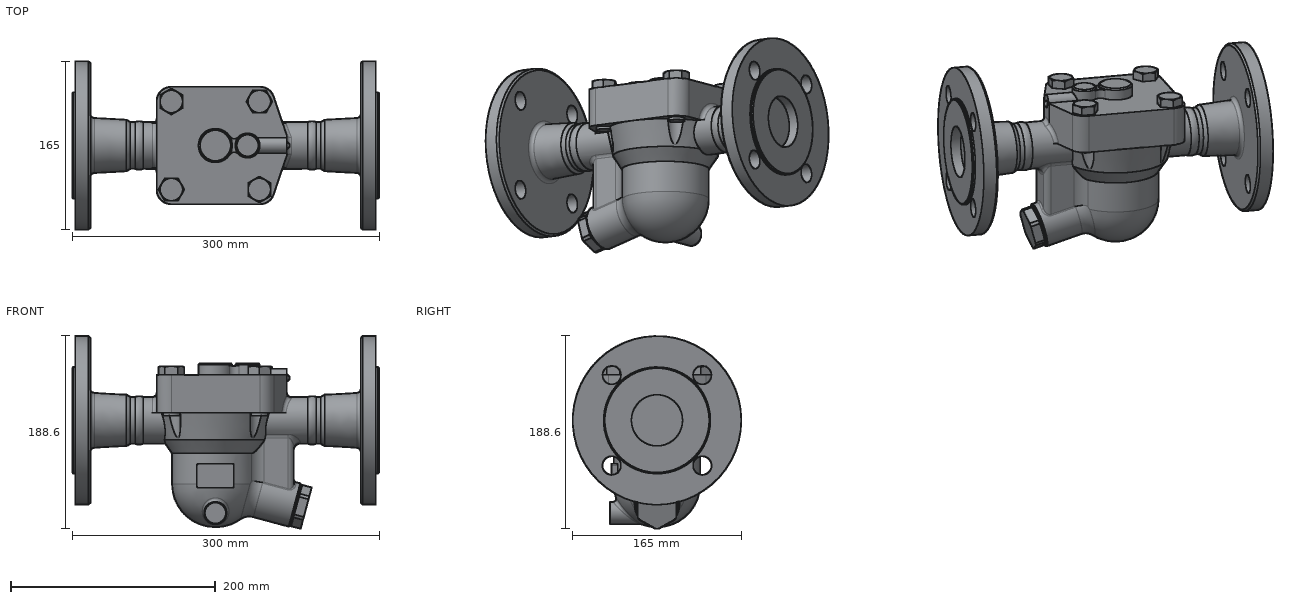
import cadquery as cq
import math


FACE_TO_FACE = 300.0
FLANGE_DIA = 165.0
FLANGE_THICKNESS = 15.0
FLANGE_CHAMFER = 2.0
RAISED_FACE_DIA = 102.0
RAISED_FACE_HEIGHT = 3.0
RAISED_FACE_CHAMFER = 1.2
BORE_DIA = 50.0
BORE_DEPTH = 10.0
BOLT_HOLE_DIA = 18.0
BOLT_CIRCLE_DIA = 125.0
BOLT_HOLE_COUNT = 4
PIPE_DIA = 46.0
HUB_FILLET = 3.8
HUB_LARGE_RADIUS = 27.0
HUB_SMALL_RADIUS = 25.3
HUB_LENGTH = 35.0
HUB_SHOULDER_LENGTH = 4.0
BEAD_GAP = 4.5
BEAD_WIDTH = 8.0
BEAD_HEIGHT = 0.8

BODY_X = -10.0
COVER_HALF_WIDTH = 57.5
COVER_CORNER_RADIUS = 14.5
COVER_NOSE_X = 60.0
COVER_NOSE_HALF_WIDTH = 9.2
COVER_NOSE_SLOPE = 3.0
COVER_TOP_Z = 44.5
BODY_FLANGE_BOTTOM_Z = 7.2
PIPE_COLLAR_FILLET = 4.0

BOLT_OFFSET = COVER_HALF_WIDTH - COVER_CORNER_RADIUS
BOLT_HEAD_FLATS = 22.0
BOLT_HEAD_HEIGHT = 8.4
BOLT_HEAD_CHAMFER = 0.9
BOLT_END_DIA = 16.0
BOLT_END_LENGTH = 2.7
BOLT_RELIEF_RADIUS = 9.0

BOSS_HEIGHT = 11.5
BOSS_CHAMFER = 1.5
LARGE_BOSS_RADIUS = 16.5
SMALL_BOSS_RADIUS = 12.0
SMALL_BOSS_X = 21.5
BOSS_WEB_HEIGHT = 8.7
BOSS_WEB_FILLET = 6.0
RIB_DIA = 16.0
RIB_AXIS_Z = 42.5
TIP_Z = 41.4
TIP_LENGTH = 2.5
TIP_BASE_RADIUS = 3.7
TIP_END_RADIUS = 1.4

BODY_TOP_RADIUS = 57.0
BODY_SHOULDER_RADIUS = 51.3
BODY_SHOULDER_Z = -19.2
BODY_RADIUS = 42.5
BODY_CYLINDER_TOP_Z = -32.4
SPHERE_Z = -62.0

PAD_WIDTH = 36.0
PAD_TOP_Z = -42.4
PAD_HEIGHT = 23.6
PAD_FACE_Y = -44.5
PAD_CORNER_RADIUS = 1.5

DRAIN_DIA = 22.0
DRAIN_Z = -90.6
DRAIN_END_Y = -46.4
DRAIN_CHAMFER = 0.8
DRAIN_FILLET = 3.0

BRANCH_TILT = 15.0
BRANCH_RADIUS = 22.0
BRANCH_LENGTH = 81.0
BRANCH_CHAMFER = 1.0
BRANCH_FILLET = 15.0
CAP_NECK_RADIUS = 19.5
CAP_NECK_LENGTH = 1.3
CAP_END = 92.0
CAP_FLATS = 38.0
CAP_CORNER_RADIUS = 21.0

DUCT_HALF_WIDTH = 17.6
DUCT_END_X = 66.8
DUCT_CORNER_RADIUS = 6.0
DUCT_BODY_FILLET = 15.0
DUCT_PIPE_FILLET = 6.0
DUCT_BRANCH_FILLET = 2.0

HEXAGON_SIDES = 6
HALF_FLAT_ANGLE = 180 / HEXAGON_SIDES

PIPE_RADIUS = PIPE_DIA / 2
FACE_X = FACE_TO_FACE / 2
FLANGE_FRONT_X = FACE_X - RAISED_FACE_HEIGHT
FLANGE_BACK_X = FLANGE_FRONT_X - FLANGE_THICKNESS
BODY_PIPE_END = FACE_X / 2


def hexagon_corner_dia(across_flats):
    return across_flats / math.cos(math.radians(HALF_FLAT_ANGLE))


def cylinder_z(x, y, z_bottom, radius, height):
    return cq.Workplane("XY", origin=(x, y, z_bottom)).circle(radius).extrude(height)


def edges_centred_in(solid, low, high):
    return solid.edges(cq.selectors.BoxSelector(low, high))


def make_pipe_half():
    """Half pipe with weld bead, tapered hub and flange on the +X side."""
    hub_start = FLANGE_BACK_X - HUB_FILLET
    hub_end = FLANGE_BACK_X - HUB_LENGTH
    shoulder_end = hub_end - HUB_SHOULDER_LENGTH
    bead_outer = shoulder_end - BEAD_GAP
    bead_inner = bead_outer - BEAD_WIDTH
    bead_mid = (bead_inner + bead_outer) / 2
    flange_radius = FLANGE_DIA / 2
    raised_radius = RAISED_FACE_DIA / 2
    fillet_mid = HUB_FILLET * (1 - math.sqrt(0.5))
    profile = (
        cq.Workplane("XY")
        .moveTo(0, 0)
        .lineTo(0, PIPE_RADIUS)
        .lineTo(bead_inner, PIPE_RADIUS)
        .threePointArc((bead_mid, PIPE_RADIUS + BEAD_HEIGHT), (bead_outer, PIPE_RADIUS))
        .lineTo(shoulder_end, PIPE_RADIUS)
        .lineTo(hub_end, HUB_SMALL_RADIUS)
        .lineTo(hub_start, HUB_LARGE_RADIUS)
        .threePointArc(
            (FLANGE_BACK_X - fillet_mid, HUB_LARGE_RADIUS + fillet_mid),
            (FLANGE_BACK_X, HUB_LARGE_RADIUS + HUB_FILLET),
        )
        .lineTo(FLANGE_BACK_X, flange_radius - FLANGE_CHAMFER)
        .lineTo(FLANGE_BACK_X + FLANGE_CHAMFER, flange_radius)
        .lineTo(FLANGE_FRONT_X, flange_radius)
        .lineTo(FLANGE_FRONT_X, raised_radius + RAISED_FACE_CHAMFER)
        .lineTo(FACE_X - RAISED_FACE_CHAMFER, raised_radius + RAISED_FACE_CHAMFER)
        .lineTo(FACE_X, raised_radius)
        .lineTo(FACE_X, BORE_DIA / 2)
        .lineTo(FACE_X - BORE_DEPTH, BORE_DIA / 2)
        .lineTo(FACE_X - BORE_DEPTH, 0)
        .close()
    )
    half = profile.revolve(360, (0, 0, 0), (1, 0, 0))
    holes = (
        cq.Workplane("YZ", origin=(FLANGE_BACK_X, 0, 0))
        .polarArray(BOLT_CIRCLE_DIA / 2, 180 / BOLT_HOLE_COUNT, 360, BOLT_HOLE_COUNT)
        .circle(BOLT_HOLE_DIA / 2)
        .extrude(FLANGE_THICKNESS)
    )
    return half.cut(holes)


def cover_prism(z_bottom, z_top):
    """Prism of the cover outline: a square with a pointed +X side and round corners."""
    shoulder_x = COVER_NOSE_X - (COVER_HALF_WIDTH - COVER_NOSE_HALF_WIDTH) / COVER_NOSE_SLOPE
    back_x = BODY_X - COVER_HALF_WIDTH
    outline = [
        (back_x, -COVER_HALF_WIDTH),
        (shoulder_x, -COVER_HALF_WIDTH),
        (COVER_NOSE_X, -COVER_NOSE_HALF_WIDTH),
        (COVER_NOSE_X, COVER_NOSE_HALF_WIDTH),
        (shoulder_x, COVER_HALF_WIDTH),
        (back_x, COVER_HALF_WIDTH),
    ]
    prism = cq.Workplane("XY", origin=(0, 0, z_bottom)).polyline(outline).close().extrude(z_top - z_bottom)
    corners = prism.edges("|Z and (>Y or <Y)")
    return corners.fillet(COVER_CORNER_RADIUS)


def make_cover():
    """Cover and body flange, with a fillet where the pipe leaves the side faces."""
    bar = (
        cq.Workplane("YZ", origin=(-BODY_PIPE_END, 0, 0))
        .circle(PIPE_RADIUS)
        .extrude(2 * BODY_PIPE_END)
    )
    joined = cover_prism(-COVER_TOP_Z, COVER_TOP_Z).union(bar)
    joint_edges = joined.edges(cq.selectors.BoxSelector(
        (-BODY_PIPE_END + 1, -PIPE_RADIUS - 1, -PIPE_RADIUS - 1),
        (BODY_PIPE_END - 1, PIPE_RADIUS + 1, PIPE_RADIUS + 1),
        boundingbox=True,
    ))
    joined = joint_edges.fillet(PIPE_COLLAR_FILLET)
    keep = cq.Workplane("XY", origin=(0, 0, BODY_FLANGE_BOTTOM_Z)).rect(FACE_TO_FACE, FLANGE_DIA)
    return joined.intersect(keep.extrude(COVER_TOP_Z))


def make_body():
    """Revolved body: tapered bowl, conical step, cylinder and spherical bottom."""
    sphere_mid = BODY_RADIUS * math.sqrt(0.5)
    body = (
        cq.Workplane("XZ", origin=(BODY_X, 0, 0))
        .moveTo(0, BODY_FLANGE_BOTTOM_Z)
        .lineTo(BODY_TOP_RADIUS, BODY_FLANGE_BOTTOM_Z)
        .lineTo(BODY_SHOULDER_RADIUS, BODY_SHOULDER_Z)
        .lineTo(BODY_RADIUS, BODY_CYLINDER_TOP_Z)
        .lineTo(BODY_RADIUS, SPHERE_Z)
        .threePointArc((sphere_mid, SPHERE_Z - sphere_mid), (0, SPHERE_Z - BODY_RADIUS))
        .close()
        .revolve(360, (0, 0, 0), (0, 1, 0))
    )
    for x, y in bolt_positions():
        depth = BODY_FLANGE_BOTTOM_Z - BODY_SHOULDER_Z
        body = body.cut(cylinder_z(x, y, BODY_SHOULDER_Z, BOLT_RELIEF_RADIUS, depth))
    return body


def bolt_positions():
    return [
        (BODY_X + side_x * BOLT_OFFSET, side_y * BOLT_OFFSET)
        for side_x in (-1, 1)
        for side_y in (-1, 1)
    ]


def make_cover_bolts():
    """Hexagon heads on the cover and bolt ends below the body flange."""
    corner_dia = hexagon_corner_dia(BOLT_HEAD_FLATS)
    bolts = cq.Workplane("XY")
    for x, y in bolt_positions():
        turned = (x - BODY_X) * y < 0
        head = (
            cq.Workplane("XY")
            .polygon(HEXAGON_SIDES, corner_dia)
            .extrude(BOLT_HEAD_HEIGHT)
            .rotate((0, 0, 0), (0, 0, 1), HALF_FLAT_ANGLE if turned else 0)
        )
        crown = (
            cylinder_z(0, 0, 0, corner_dia / 2, BOLT_HEAD_HEIGHT)
            .faces(">Z")
            .chamfer(BOLT_HEAD_CHAMFER, (corner_dia - BOLT_HEAD_FLATS) / 2)
        )
        head = head.intersect(crown).translate((x, y, COVER_TOP_Z))
        end_bottom = BODY_FLANGE_BOTTOM_Z - BOLT_END_LENGTH
        bolts = bolts.add(head).add(cylinder_z(x, y, end_bottom, BOLT_END_DIA / 2, BOLT_END_LENGTH))
    return bolts


def boss_web():
    """Web that joins the two bosses, its flanks being arcs tangent to both."""
    span = SMALL_BOSS_X - BODY_X
    to_large = LARGE_BOSS_RADIUS + BOSS_WEB_FILLET
    to_small = SMALL_BOSS_RADIUS + BOSS_WEB_FILLET
    along = (span ** 2 + to_large ** 2 - to_small ** 2) / (2 * span)
    aside = math.sqrt(to_large ** 2 - along ** 2)
    fillet_x = BODY_X + along
    web = (
        cq.Workplane("XY", origin=(0, 0, COVER_TOP_Z))
        .polyline([(BODY_X, 0), (fillet_x, -aside), (SMALL_BOSS_X, 0), (fillet_x, aside)])
        .close()
        .extrude(BOSS_WEB_HEIGHT)
    )
    for y in (-aside, aside):
        web = web.cut(cylinder_z(fillet_x, y, COVER_TOP_Z, BOSS_WEB_FILLET, BOSS_WEB_HEIGHT))
    return web


def make_cover_details():
    """Two round bosses with their web, the round rib to the nose and its conical tip."""
    details = boss_web()
    for x, radius in ((BODY_X, LARGE_BOSS_RADIUS), (SMALL_BOSS_X, SMALL_BOSS_RADIUS)):
        boss = cylinder_z(x, 0, COVER_TOP_Z, radius, BOSS_HEIGHT).faces(">Z").chamfer(BOSS_CHAMFER)
        details = details.union(boss)
    rib = (
        cq.Workplane("YZ", origin=(SMALL_BOSS_X, 0, RIB_AXIS_Z))
        .circle(RIB_DIA / 2)
        .extrude(COVER_NOSE_X - SMALL_BOSS_X)
    )
    tip = cq.Workplane("XY").add(cq.Solid.makeCone(
        TIP_BASE_RADIUS, TIP_END_RADIUS, TIP_LENGTH,
        pnt=cq.Vector(COVER_NOSE_X, 0, TIP_Z), dir=cq.Vector(1, 0, 0),
    ))
    return details.union(rib).union(tip)


def make_pad():
    return (
        cq.Workplane("XY")
        .box(PAD_WIDTH, -PAD_FACE_Y, PAD_HEIGHT, centered=(True, False, False))
        .edges("|Y")
        .fillet(PAD_CORNER_RADIUS)
        .translate((BODY_X, PAD_FACE_Y, PAD_TOP_Z - PAD_HEIGHT))
    )


def add_drain(body):
    """Drain boss towards -Y, with a fillet where it leaves the sphere."""
    boss = (
        cq.Workplane("XZ", origin=(BODY_X, 0, DRAIN_Z))
        .circle(DRAIN_DIA / 2)
        .extrude(-DRAIN_END_Y)
        .faces("<Y")
        .chamfer(DRAIN_CHAMFER)
    )
    drained = body.union(boss)
    joint = edges_centred_in(
        drained,
        (BODY_X - DRAIN_DIA / 4, -BODY_RADIUS, DRAIN_Z - DRAIN_DIA / 4),
        (BODY_X + DRAIN_DIA / 4, -BODY_RADIUS / 3, DRAIN_Z + DRAIN_DIA / 4),
    )
    return joint.fillet(DRAIN_FILLET)


def branch_plane():
    """Plane at the sphere centre whose x direction runs down the branch axis."""
    tilt = math.radians(BRANCH_TILT)
    return cq.Plane(
        origin=(BODY_X, 0, SPHERE_Z),
        xDir=(math.cos(tilt), 0, -math.sin(tilt)),
        normal=(0, -1, 0),
    )


def make_branch_barrel():
    """Branch barrel, flaring with a tangent arc onto the sphere."""
    reach = BODY_RADIUS + BRANCH_FILLET
    flare_end = math.sqrt(reach ** 2 - (BRANCH_RADIUS + BRANCH_FILLET) ** 2)
    contact = BODY_RADIUS / reach
    return (
        cq.Workplane(branch_plane())
        .lineTo(flare_end * contact, (BRANCH_RADIUS + BRANCH_FILLET) * contact)
        .radiusArc((flare_end, BRANCH_RADIUS), -BRANCH_FILLET)
        .lineTo(BRANCH_LENGTH - BRANCH_CHAMFER, BRANCH_RADIUS)
        .lineTo(BRANCH_LENGTH, BRANCH_RADIUS - BRANCH_CHAMFER)
        .lineTo(BRANCH_LENGTH, 0)
        .close()
        .revolve(360, (0, 0, 0), (1, 0, 0))
    )


def make_branch_cap():
    """Hexagon cap with rounded corners on a short neck."""
    cap_start = BRANCH_LENGTH + CAP_NECK_LENGTH
    cap_height = CAP_END - cap_start
    plane = branch_plane()
    end_plane = cq.Plane(
        origin=plane.toWorldCoords((BRANCH_LENGTH, 0, 0)),
        xDir=plane.yDir,
        normal=plane.xDir,
    )
    neck = cq.Workplane(end_plane).circle(CAP_NECK_RADIUS).extrude(CAP_NECK_LENGTH)
    base = cq.Workplane(end_plane).workplane(offset=CAP_NECK_LENGTH)
    hexagon = base.polygon(HEXAGON_SIDES, hexagon_corner_dia(CAP_FLATS)).extrude(cap_height)
    rounding = base.circle(CAP_CORNER_RADIUS).extrude(cap_height)
    return neck.union(hexagon.intersect(rounding))


def duct_bottom_z():
    """Lowest height of the branch axis under the duct."""
    return SPHERE_Z - (DUCT_END_X - BODY_X) * math.tan(math.radians(BRANCH_TILT))


def below_branch_axis():
    """Block that holds everything under the branch axis."""
    return (
        cq.Workplane(branch_plane())
        .lineTo(2 * BRANCH_LENGTH, 0)
        .lineTo(2 * BRANCH_LENGTH, -BRANCH_LENGTH)
        .lineTo(0, -BRANCH_LENGTH)
        .close()
        .extrude(BODY_RADIUS, both=True)
    )


def make_duct():
    """Upright duct, filleted into the pipe above it and the branch barrel below it."""
    duct = (
        cq.Workplane("XY", origin=(BODY_X, 0, duct_bottom_z()))
        .box(DUCT_END_X - BODY_X, 2 * DUCT_HALF_WIDTH, -duct_bottom_z(), centered=(False, True, False))
        .edges("|Z and >X")
        .fillet(DUCT_CORNER_RADIUS)
        .cut(below_branch_axis())
    )
    pipe = cq.Workplane("YZ", origin=(BODY_X, 0, 0)).circle(PIPE_RADIUS).extrude(BODY_PIPE_END - BODY_X)
    joined = duct.union(pipe).union(make_branch_barrel())
    pipe_joint = edges_centred_in(
        joined,
        (BODY_X + 1, -PIPE_RADIUS, -PIPE_RADIUS),
        (DUCT_END_X + 1, PIPE_RADIUS, -PIPE_RADIUS / 2),
    )
    joined = pipe_joint.fillet(DUCT_PIPE_FILLET)
    joint_start_x = BODY_X + BODY_RADIUS
    joint_end_x = DUCT_END_X + 1
    joint_bottom_z = SPHERE_Z - BRANCH_RADIUS / 2
    joint_top_z = SPHERE_Z + BRANCH_CHAMFER
    off_centre_y = DUCT_CORNER_RADIUS / 2
    branch_joint = joined.edges(
        cq.selectors.BoxSelector(
            (joint_start_x, off_centre_y, joint_bottom_z), (joint_end_x, PIPE_RADIUS, joint_top_z))
        + cq.selectors.BoxSelector(
            (joint_start_x, -PIPE_RADIUS, joint_bottom_z), (joint_end_x, -off_centre_y, joint_top_z))
    )
    joined = branch_joint.fillet(DUCT_BRANCH_FILLET)
    return joined.union(make_duct_flares())


def make_duct_flares():
    """Upright arcs that run the duct sides tangentially onto the body cylinder."""
    reach = BODY_RADIUS + DUCT_BODY_FILLET
    fillet_y = DUCT_HALF_WIDTH + DUCT_BODY_FILLET
    fillet_along = math.sqrt(reach ** 2 - fillet_y ** 2)
    contact = BODY_RADIUS / reach
    contact_x = BODY_X + fillet_along * contact
    contact_y = fillet_y * contact
    side_x = BODY_X + fillet_along
    flares = (
        cq.Workplane("XY", origin=(0, 0, duct_bottom_z()))
        .moveTo(BODY_X, 0)
        .lineTo(contact_x, -contact_y)
        .radiusArc((side_x, -DUCT_HALF_WIDTH), DUCT_BODY_FILLET)
        .lineTo(side_x, DUCT_HALF_WIDTH)
        .radiusArc((contact_x, contact_y), DUCT_BODY_FILLET)
        .close()
        .extrude(BODY_SHOULDER_Z - duct_bottom_z())
    )
    return flares.cut(below_branch_axis())


pipe_half = make_pipe_half()
result = pipe_half.union(pipe_half.mirror("YZ"))
result = result.union(make_duct())
result = result.union(make_cover())
result = result.union(add_drain(make_body()))
result = result.union(make_branch_cap())
result = result.union(make_pad()).union(make_cover_details())
for bolt in make_cover_bolts().vals():
    result = result.union(cq.Workplane("XY").add(bolt))